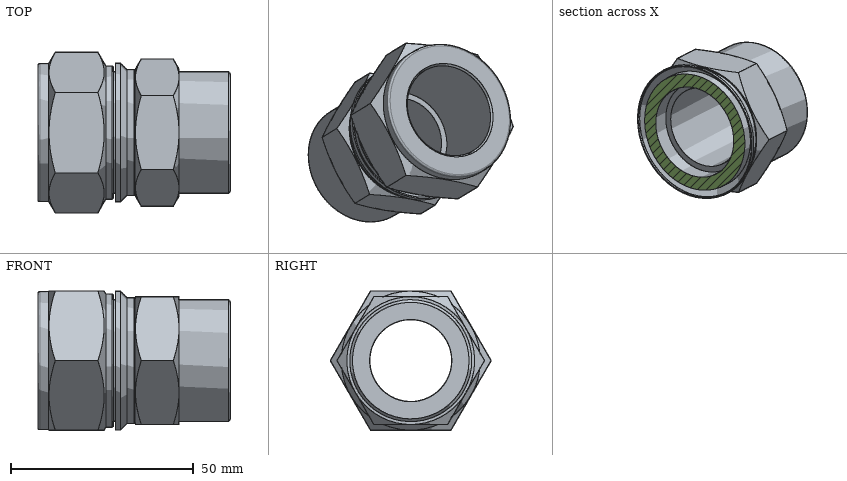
import cadquery as cq
import math

LENGTH = 52.75

NUT_FLATS = 38.1
NUT_COLLAR_D = 37.8
NUT_COLLAR_ROUND = 0.55
NUT_HEX_START = 3.0
NUT_REAR_BAND_D = 36.5
NUT_REAR_BAND_START = 18.6
NUT_END = 20.65
NUT_REAR_CHAMFER = 0.3

NECK_D = 33.3

RING_D = 38.0
RING_START = 21.2
RING_RIM_WIDTH = 1.4
RING_WALL = 0.4
RING_CONE_ANGLE = 45.0
SHOULDER_D = 34.5
SHOULDER_CHAMFER = 0.3

BODY_FLATS = 34.925
BODY_HEX_START = 26.6
BODY_HEX_END = 38.6

PIPE_D = 33.34
PIPE_END_D = 31.85
PIPE_CHAMFER_LENGTH = 0.6

SOCKET_D = 25.6
SOCKET_DEPTH = BODY_HEX_START
SOCKET_CHAMFER = 0.5
PASSAGE_D = 22.35

HEX_HALF_ANGLE = 30.0
CORNER_CONE_ANGLE = 30.0


def cylinder(diameter, start, end):
    """Cylinder along X between two stations."""
    return cq.Workplane("YZ", origin=(start, 0, 0)).circle(diameter / 2).extrude(end - start)


def revolved(points):
    """Solid of revolution about X from (x, radius) points."""
    return cq.Workplane("XY").polyline(points).close().revolve(360, (0, 0, 0), (1, 0, 0))


def trimmed_hexagon(flats, start, end, start_face_d, end_face_d):
    """Hexagon with corners on Y, trimmed by a cone down to a circle at each end."""
    corner_r = flats / math.cos(math.radians(HEX_HALF_ANGLE)) / 2
    slope = math.tan(math.radians(CORNER_CONE_ANGLE))
    start_r = start_face_d / 2
    end_r = end_face_d / 2
    prism = (
        cq.Workplane("YZ", origin=(start, 0, 0))
        .polygon(6, 2 * corner_r)
        .extrude(end - start)
    )
    envelope = revolved([
        (start, 0),
        (start, start_r),
        (start + (corner_r - start_r) * slope, corner_r),
        (end - (corner_r - end_r) * slope, corner_r),
        (end, end_r),
        (end, 0),
    ])
    return prism.intersect(envelope)


def make_nut():
    collar = cylinder(NUT_COLLAR_D, 0, NUT_HEX_START).faces("<X").edges().fillet(NUT_COLLAR_ROUND)
    hexagon = trimmed_hexagon(
        NUT_FLATS, NUT_HEX_START, NUT_REAR_BAND_START, NUT_COLLAR_D, NUT_REAR_BAND_D
    )
    band = cylinder(NUT_REAR_BAND_D, NUT_REAR_BAND_START, NUT_END)
    band = band.faces(">X").edges().chamfer(NUT_REAR_CHAMFER)
    return collar.union(hexagon).union(band)


def make_ring_and_shoulder():
    ring_r = RING_D / 2
    shoulder_r = SHOULDER_D / 2
    rim_end = RING_START + RING_RIM_WIDTH
    cone_slope = math.tan(math.radians(RING_CONE_ANGLE))
    cone_end = rim_end + (ring_r - shoulder_r) / cone_slope
    neck_r = NECK_D / 2
    recess_r = ring_r - RING_WALL
    recess_rim_end = rim_end - RING_WALL * math.tan(math.radians(RING_CONE_ANGLE / 2))
    recess_cone_end = recess_rim_end + (recess_r - neck_r) / cone_slope
    return revolved([
        (RING_START, 0),
        (RING_START, neck_r),
        (recess_cone_end, neck_r),
        (recess_rim_end, recess_r),
        (RING_START, recess_r),
        (RING_START, ring_r),
        (rim_end, ring_r),
        (cone_end, shoulder_r),
        (BODY_HEX_START - SHOULDER_CHAMFER, shoulder_r),
        (BODY_HEX_START, shoulder_r - SHOULDER_CHAMFER),
        (BODY_HEX_START, 0),
    ])


def make_body():
    neck = cylinder(NECK_D, NUT_END, RING_START)
    hexagon = trimmed_hexagon(
        BODY_FLATS, BODY_HEX_START, BODY_HEX_END, SHOULDER_D, BODY_FLATS
    )
    pipe = revolved([
        (BODY_HEX_END, 0),
        (BODY_HEX_END, PIPE_D / 2),
        (LENGTH - PIPE_CHAMFER_LENGTH, PIPE_D / 2),
        (LENGTH, PIPE_END_D / 2),
        (LENGTH, 0),
    ])
    return neck.union(make_ring_and_shoulder()).union(hexagon).union(pipe)


def make_bore():
    socket_r = SOCKET_D / 2
    passage_r = PASSAGE_D / 2
    return revolved([
        (0, 0),
        (0, socket_r + SOCKET_CHAMFER),
        (SOCKET_CHAMFER, socket_r),
        (SOCKET_DEPTH, socket_r),
        (SOCKET_DEPTH, passage_r),
        (LENGTH, passage_r),
        (LENGTH, 0),
    ])


result = make_nut().union(make_body()).cut(make_bore())